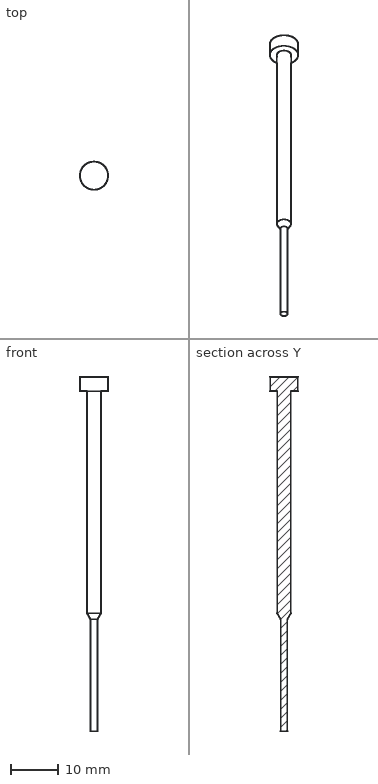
import cadquery as cq
import math

total_length = 75.0
head_diameter = 6.0
head_height = 3.0
shank_diameter = 3.0
tip_diameter = 1.5
shoulder_depth = 50.0
taper_half_angle = 30.0

head_radius = head_diameter / 2
shank_radius = shank_diameter / 2
tip_radius = tip_diameter / 2
taper_length = (shank_radius - tip_radius) / math.tan(math.radians(taper_half_angle))

head_bottom_z = total_length - head_height
shank_bottom_z = total_length - shoulder_depth
tip_top_z = shank_bottom_z - taper_length


def make_pin():
    """Revolve the half profile of tip, taper, shank and head about the Z axis."""
    half_profile = (
        cq.Workplane("XZ")
        .lineTo(tip_radius, 0)
        .lineTo(tip_radius, tip_top_z)
        .lineTo(shank_radius, shank_bottom_z)
        .lineTo(shank_radius, head_bottom_z)
        .lineTo(head_radius, head_bottom_z)
        .lineTo(head_radius, total_length)
        .lineTo(0, total_length)
        .close()
    )
    return half_profile.revolve(360, (0, 0, 0), (0, 1, 0))


result = make_pin()